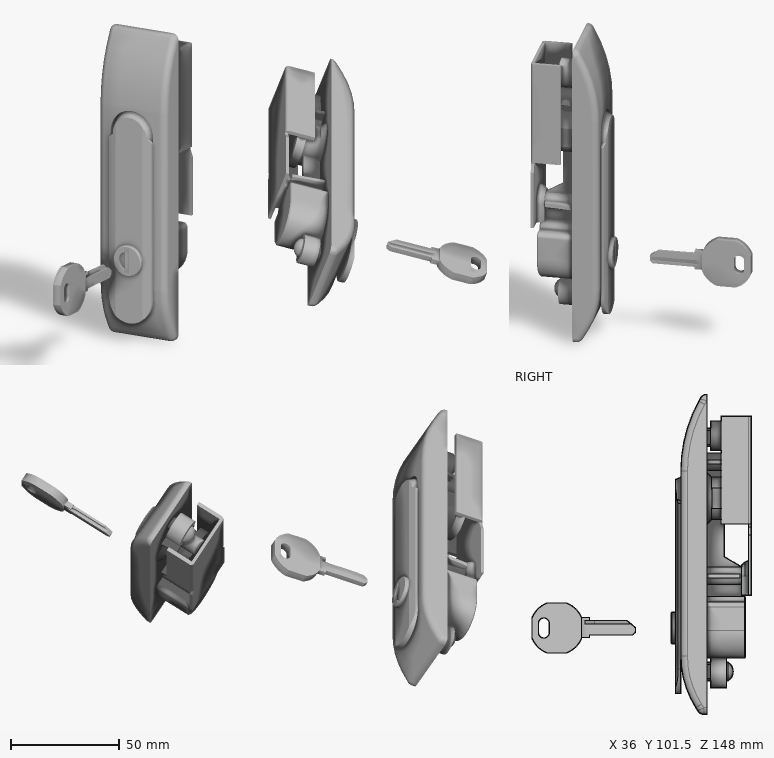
import cadquery as cq
import math


HOUSING_WIDTH = 36.0
HOUSING_HEIGHT = 148.0
FRONT_Y = -12.1
FLAT_TOP_Z = 112.5
FLAT_BOTTOM_Z = 27.0
TOP_BEND_RADIUS = 67.3
BOTTOM_BEND_RADIUS = 44.4
EDGE_RADIUS = 3.1

SPINDLE_Z = 99.9
HUB_RADIUS = 9.9
HUB_HALF_FLAT = 8.7
HUB_BACK_Y = 9.3
HUB_FLARE_RADIUS = 12.0
HUB_FLARE_HEIGHT = 2.2

POST_RADIUS = 4.1
LOWER_POST_Z = 64.1
UPPER_POST_Z = 116.8
POST_BACK_Y = 16.0
FIN_THICKNESS = 1.9
LOWER_FIN_BACK_Y = 15.2
UPPER_FIN_BACK_Y = 8.0
FIN_ROOT_HALF_SPAN = 8.3
FIN_DRAFT = 0.09
RIB_THICKNESS = 1.9
RIB_BACK_Y = 8.0
RIB_SLOPE_START_Z = 73.0
RIB_SLOPE_END_Z = 68.2

CASE_HALF_WIDTH = 12.7
CASE_BACK_Y = 17.9
CASE_ARC_CENTRE_Z = 38.8
CASE_SHOULDER_Z = 52.0
CASE_SHOULDER_RADIUS = 2.2
CASE_EDGE_CHAMFER = 0.6
STEP_HALF_WIDTH = 7.1
STEP_HEIGHT = 2.7

HANDLE_HALF_WIDTH = 11.4
HANDLE_FLAT_HALF_WIDTH = 7.3
HANDLE_FRONT_Y = -14.7
HANDLE_EDGE_Y = -13.3
HANDLE_BOTTOM_Z = 9.6
HANDLE_SHOULDER_Z = 97.5
HANDLE_SHOULDER_RISE = 2.2
HEAD_FRONT_RADIUS = 8.7
POCKET_FLOOR_Y = -9.0

LOCK_Z = 40.0
LOCK_RADIUS = 7.4
LOCK_FRONT_Y = -16.6
LOCK_EDGE_CHAMFER = 0.5
KEYWAY_WIDTH = 2.5
KEYWAY_HEIGHT = 12.6
KEYWAY_DEPTH = 0.6
THUMB_RECESS_RADIUS = 4.5
THUMB_RECESS_DEPTH = 1.3

BRACKET_HALF_WIDTH = 13.8
BRACKET_BACK_Y = 20.5
BRACKET_FRONT_Y = 6.5
BRACKET_TOP_Z = 138.0
CHANNEL_BOTTOM_Z = 88.0
TAIL_BOTTOM_Z = 55.0
PLATE_THICKNESS = 1.5
WALL_THICKNESS = 1.8
BEND_RADIUS = 1.5
TAIL_NECK_Z = 86.7
TAIL_FULL_WIDTH_Z = 82.9
EMBOSS_ROOT_RADIUS = 7.1
EMBOSS_SIDE_RADIUS = 6.4
EMBOSS_TIP_RADIUS = 5.0
EMBOSS_SIDE_HEIGHT = 1.6
EMBOSS_HEIGHT = 3.1

CAM_RADIUS = 11.8
CAM_BACK_Y = 13.5
CAM_NOTCH_DEPTH = 3.0
CAM_NOTCH_FRONT_HALF_WIDTH = 5.8
CAM_NOTCH_BACK_HALF_WIDTH = 4.6

COLLAR_END_DISTANCE = 19.1
SCREW_END_DISTANCE = 19.8
SCREW_NECK_RADIUS = 4.3
SCREW_NECK_WIDTH = 5.6
SCREW_NECK_HEIGHT = 1.6
SCREW_COLLAR_RADIUS = 6.8
SCREW_COLLAR_BACK_Y = 9.0
SCREW_DOME_START_Y = 9.8
SCREW_TIP_Y = 12.1

KEY_TIP_Y = -33.0
KEY_SHOULDER_Y = -54.3
KEY_BOW_NEAR_Y = -58.0
KEY_BOW_FAR_Y = -81.0
KEY_BOW_HEIGHT = 23.2
KEY_BOW_RADIUS = 12.5
KEY_BOW_THICKNESS = 4.1
KEY_HOLE_WIDTH = 4.9
KEY_HOLE_HEIGHT = 9.2
KEY_HOLE_Y = -75.5
KEY_BLADE_THICKNESS = 2.5
KEY_BLADE_TOP = 3.5
KEY_BLADE_BOTTOM = -3.3
KEY_COLLAR_TOP = 4.9
KEY_COLLAR_BOTTOM = -4.5
KEY_TIP_UPPER = 0.1
KEY_TIP_LOWER = -1.9
KEY_TIP_LONG_BEVEL = 4.1
KEY_TIP_SHORT_BEVEL = 1.5
KEY_GROOVE_DEPTH = 0.7
KEY_REBATE_DEPTH = 1.5
KEY_REBATE_HEIGHT = 1.8
KEY_GROOVE_END_Y = -52.1
KEY_GROOVE_RUNOUT = 4.5


def disc(radius, z, y_start, y_end):
    """Cylinder with its axis along Y."""
    axis_plane = cq.Plane(origin=(0, y_start, z), xDir=(1, 0, 0), normal=(0, 1, 0))
    return cq.Workplane(axis_plane).circle(radius).extrude(y_end - y_start)


def cone(radius_start, radius_end, z, y_start, y_end):
    """Truncated cone with its axis along Y."""
    profile = [(0, y_start), (radius_start, y_start), (radius_end, y_end), (0, y_end)]
    return cq.Workplane("XY").polyline(profile).close().revolve(360, (0, 0), (0, 1)).translate((0, 0, z))


def block(x_start, x_end, y_start, y_end, z_start, z_end):
    """Box given by its limits along the three axes."""
    size = (x_end - x_start, y_end - y_start, z_end - z_start)
    return cq.Workplane("XY").box(*size, centered=False).translate((x_start, y_start, z_start))


def side_plate(profile, thickness):
    """Extrude a closed (y, z) outline evenly to both sides of x = 0."""
    return cq.Workplane("YZ").polyline(profile).close().extrude(thickness / 2, both=True)



def bend_point(radius, rise):
    """Setback in Y of a bend that starts upright, at a distance along Z from its start."""
    return radius - math.sqrt(radius**2 - rise**2)


def housing_shell():
    top_rise = HOUSING_HEIGHT - FLAT_TOP_Z
    top_y = FRONT_Y + bend_point(TOP_BEND_RADIUS, top_rise)
    top_mid_y = FRONT_Y + bend_point(TOP_BEND_RADIUS, top_rise / 2)
    bottom_y = FRONT_Y + bend_point(BOTTOM_BEND_RADIUS, FLAT_BOTTOM_Z)
    bottom_mid_y = FRONT_Y + bend_point(BOTTOM_BEND_RADIUS, FLAT_BOTTOM_Z / 2)
    shell = (
        cq.Workplane("YZ")
        .moveTo(0, 0)
        .lineTo(0, HOUSING_HEIGHT)
        .lineTo(top_y, HOUSING_HEIGHT)
        .threePointArc((top_mid_y, FLAT_TOP_Z + top_rise / 2), (FRONT_Y, FLAT_TOP_Z))
        .lineTo(FRONT_Y, FLAT_BOTTOM_Z)
        .threePointArc((bottom_mid_y, FLAT_BOTTOM_Z / 2), (bottom_y, 0))
        .close()
        .extrude(HOUSING_WIDTH / 2, both=True)
    )
    shell = shell.edges("|Y").fillet(EDGE_RADIUS)
    front_edges = shell.faces("<Y").edges("|Z")
    return front_edges.fillet(EDGE_RADIUS)


def head_pocket():
    """Round-ended pocket in the front face around the handle head."""
    pocket = disc(HANDLE_HALF_WIDTH, SPINDLE_Z, FRONT_Y, POCKET_FLOOR_Y)
    grip_side = block(
        -HANDLE_HALF_WIDTH, HANDLE_HALF_WIDTH, FRONT_Y, POCKET_FLOOR_Y, HANDLE_SHOULDER_Z, SPINDLE_Z
    )
    above_shoulder = block(
        -HANDLE_HALF_WIDTH, HANDLE_HALF_WIDTH, FRONT_Y, POCKET_FLOOR_Y, HANDLE_SHOULDER_Z, HOUSING_HEIGHT
    )
    return pocket.union(grip_side).intersect(above_shoulder)


def hub():
    """Spindle hub with two side flats and a flared foot."""
    flats = block(-HUB_HALF_FLAT, HUB_HALF_FLAT, 0, HUB_BACK_Y, 0, HOUSING_HEIGHT)
    foot = cone(HUB_FLARE_RADIUS, HUB_RADIUS - 0.1, SPINDLE_Z, 0, HUB_FLARE_HEIGHT)
    return disc(HUB_RADIUS, SPINDLE_Z, 0, HUB_BACK_Y).intersect(flats).union(foot)


def fin(z, back_y):
    """Cross fin of a guide post; its ends lean in by the same draft at any height."""
    tip_half_span = FIN_ROOT_HALF_SPAN - FIN_DRAFT * back_y
    outline = [
        (-FIN_ROOT_HALF_SPAN, 0),
        (FIN_ROOT_HALF_SPAN, 0),
        (tip_half_span, back_y),
        (-tip_half_span, back_y),
    ]
    bottom = cq.Workplane("XY", origin=(0, 0, z - FIN_THICKNESS / 2))
    return bottom.polyline(outline).close().extrude(FIN_THICKNESS)


def guide_posts():
    """Two finned posts and the upright rib that runs down to the lock case."""
    rib_outline = [
        (0, CASE_SHOULDER_Z),
        (POST_BACK_Y, CASE_SHOULDER_Z),
        (POST_BACK_Y, RIB_SLOPE_END_Z),
        (RIB_BACK_Y, RIB_SLOPE_START_Z),
        (RIB_BACK_Y, UPPER_POST_Z),
        (0, UPPER_POST_Z),
    ]
    posts = side_plate(rib_outline, RIB_THICKNESS)
    for z, fin_back_y in ((LOWER_POST_Z, LOWER_FIN_BACK_Y), (UPPER_POST_Z, UPPER_FIN_BACK_Y)):
        posts = posts.union(disc(POST_RADIUS, z, 0, POST_BACK_Y)).union(fin(z, fin_back_y))
    return posts


def lock_case():
    """Case around the lock: round below, rounded shoulders and a rounded step above."""
    flat_end_x = CASE_HALF_WIDTH - CASE_SHOULDER_RADIUS
    step_flat_end_x = STEP_HALF_WIDTH - STEP_HEIGHT
    step_top_z = CASE_SHOULDER_Z + STEP_HEIGHT
    shoulder_start_z = CASE_SHOULDER_Z - CASE_SHOULDER_RADIUS
    back_plane = cq.Plane(origin=(0, 0, 0), xDir=(1, 0, 0), normal=(0, -1, 0))
    return (
        cq.Workplane(back_plane)
        .moveTo(-CASE_HALF_WIDTH, CASE_ARC_CENTRE_Z)
        .threePointArc((0, CASE_ARC_CENTRE_Z - CASE_HALF_WIDTH), (CASE_HALF_WIDTH, CASE_ARC_CENTRE_Z))
        .lineTo(CASE_HALF_WIDTH, shoulder_start_z)
        .radiusArc((flat_end_x, CASE_SHOULDER_Z), -CASE_SHOULDER_RADIUS)
        .lineTo(STEP_HALF_WIDTH, CASE_SHOULDER_Z)
        .radiusArc((step_flat_end_x, step_top_z), -STEP_HEIGHT)
        .lineTo(-step_flat_end_x, step_top_z)
        .radiusArc((-STEP_HALF_WIDTH, CASE_SHOULDER_Z), -STEP_HEIGHT)
        .lineTo(-flat_end_x, CASE_SHOULDER_Z)
        .radiusArc((-CASE_HALF_WIDTH, shoulder_start_z), -CASE_SHOULDER_RADIUS)
        .close()
        .extrude(-CASE_BACK_Y)
        .faces(">Y").chamfer(CASE_EDGE_CHAMFER)
    )


def make_housing():
    body = housing_shell().cut(head_pocket())
    return body.union(hub()).union(guide_posts()).union(lock_case())



def make_handle():
    """Long grip with bevelled sides, round lower end and a conical head."""
    section = [
        (-HANDLE_HALF_WIDTH, POCKET_FLOOR_Y),
        (-HANDLE_HALF_WIDTH, HANDLE_EDGE_Y),
        (-HANDLE_FLAT_HALF_WIDTH, HANDLE_FRONT_Y),
        (HANDLE_FLAT_HALF_WIDTH, HANDLE_FRONT_Y),
        (HANDLE_HALF_WIDTH, HANDLE_EDGE_Y),
        (HANDLE_HALF_WIDTH, POCKET_FLOOR_Y),
    ]
    bar = cq.Workplane("XY").polyline(section).close().extrude(HOUSING_HEIGHT)
    round_end_z = HANDLE_BOTTOM_Z + HANDLE_HALF_WIDTH
    shoulder_top_z = HANDLE_SHOULDER_Z + HANDLE_SHOULDER_RISE
    front_plane = cq.Plane(origin=(0, FRONT_Y, 0), xDir=(1, 0, 0), normal=(0, -1, 0))
    grip = (
        cq.Workplane(front_plane)
        .moveTo(-HANDLE_HALF_WIDTH, round_end_z)
        .threePointArc((0, HANDLE_BOTTOM_Z), (HANDLE_HALF_WIDTH, round_end_z))
        .lineTo(HANDLE_HALF_WIDTH, HANDLE_SHOULDER_Z)
        .lineTo(HEAD_FRONT_RADIUS, shoulder_top_z)
        .lineTo(-HEAD_FRONT_RADIUS, shoulder_top_z)
        .lineTo(-HANDLE_HALF_WIDTH, HANDLE_SHOULDER_Z)
        .close()
        .extrude(FRONT_Y - HANDLE_FRONT_Y)
    )
    above_shoulder = block(
        -HANDLE_HALF_WIDTH, HANDLE_HALF_WIDTH, HANDLE_FRONT_Y, POCKET_FLOOR_Y,
        HANDLE_SHOULDER_Z, HOUSING_HEIGHT,
    )
    head = cone(HEAD_FRONT_RADIUS, HANDLE_HALF_WIDTH, SPINDLE_Z, HANDLE_FRONT_Y, POCKET_FLOOR_Y)
    return grip.union(head.intersect(above_shoulder)).intersect(bar)



def make_lock_cylinder():
    """Lock face with an upright keyway and a half-round recess beside it."""
    face = disc(LOCK_RADIUS, LOCK_Z, LOCK_FRONT_Y, HANDLE_FRONT_Y)
    face = face.faces("<Y").chamfer(LOCK_EDGE_CHAMFER)
    keyway = block(
        -KEYWAY_WIDTH / 2, KEYWAY_WIDTH / 2, LOCK_FRONT_Y, LOCK_FRONT_Y + KEYWAY_DEPTH,
        LOCK_Z - KEYWAY_HEIGHT / 2, LOCK_Z + KEYWAY_HEIGHT / 2,
    )
    recess_floor_y = LOCK_FRONT_Y + THUMB_RECESS_DEPTH
    left_half = block(
        -LOCK_RADIUS, -KEYWAY_WIDTH / 2, LOCK_FRONT_Y, recess_floor_y,
        LOCK_Z - LOCK_RADIUS, LOCK_Z + LOCK_RADIUS,
    )
    recess = disc(THUMB_RECESS_RADIUS, LOCK_Z, LOCK_FRONT_Y, recess_floor_y).intersect(left_half)
    return face.cut(keyway).cut(recess)



def bracket_channel():
    outer = block(
        -BRACKET_HALF_WIDTH, BRACKET_HALF_WIDTH, BRACKET_FRONT_Y, BRACKET_BACK_Y,
        CHANNEL_BOTTOM_Z, BRACKET_TOP_Z,
    )
    outer = outer.faces(">Y").edges("|Z").fillet(BEND_RADIUS)
    inner_half_width = BRACKET_HALF_WIDTH - WALL_THICKNESS
    inside = block(
        -inner_half_width, inner_half_width, BRACKET_FRONT_Y, BRACKET_BACK_Y - PLATE_THICKNESS,
        CHANNEL_BOTTOM_Z, BRACKET_TOP_Z,
    )
    return outer.cut(inside)


def bracket_tail():
    """Flat tail below the channel, narrowed where it leaves the bent walls."""
    neck_half_width = BRACKET_HALF_WIDTH - BEND_RADIUS
    right_edge = [
        (BRACKET_HALF_WIDTH, TAIL_BOTTOM_Z),
        (BRACKET_HALF_WIDTH, TAIL_FULL_WIDTH_Z),
        (neck_half_width, TAIL_NECK_Z),
        (neck_half_width, CHANNEL_BOTTOM_Z),
    ]
    left_edge = [(-x, z) for x, z in reversed(right_edge)]
    back_plane = cq.Plane(origin=(0, BRACKET_BACK_Y, 0), xDir=(1, 0, 0), normal=(0, -1, 0))
    return cq.Workplane(back_plane).polyline(right_edge + left_edge).close().extrude(PLATE_THICKNESS)


def bracket_emboss():
    """Raised boss with sloping sides: half round at the top, running straight off the tail's end."""
    root_y = BRACKET_BACK_Y - PLATE_THICKNESS
    right_flank = [
        (EMBOSS_ROOT_RADIUS, root_y),
        (EMBOSS_SIDE_RADIUS, root_y - EMBOSS_SIDE_HEIGHT),
        (EMBOSS_TIP_RADIUS, root_y - EMBOSS_HEIGHT),
    ]
    left_flank = [(-x, y) for x, y in reversed(right_flank)]
    straight = (
        cq.Workplane("XY", origin=(0, 0, TAIL_BOTTOM_Z))
        .polyline(right_flank + left_flank).close()
        .extrude(LOWER_POST_Z - TAIL_BOTTOM_Z)
    )
    half_section = [(0, root_y)] + right_flank + [(0, root_y - EMBOSS_HEIGHT)]
    round_top = (
        cq.Workplane("XY", origin=(0, 0, LOWER_POST_Z))
        .polyline(half_section).close()
        .revolve(360, (0, 0), (0, 1))
    )
    return straight.union(round_top)


def make_bracket():
    return bracket_channel().union(bracket_tail()).union(bracket_emboss())



def make_cam():
    """Disc on the end of the hub with a tapered notch in its upper rim."""
    notch_floor_z = SPINDLE_Z + CAM_RADIUS - CAM_NOTCH_DEPTH
    notch = (
        cq.Workplane("XY", origin=(0, 0, notch_floor_z))
        .polyline([
            (-CAM_NOTCH_FRONT_HALF_WIDTH, HUB_BACK_Y),
            (CAM_NOTCH_FRONT_HALF_WIDTH, HUB_BACK_Y),
            (CAM_NOTCH_BACK_HALF_WIDTH, CAM_BACK_Y),
            (-CAM_NOTCH_BACK_HALF_WIDTH, CAM_BACK_Y),
        ])
        .close()
        .extrude(CAM_NOTCH_DEPTH)
    )
    return disc(CAM_RADIUS, SPINDLE_Z, HUB_BACK_Y, CAM_BACK_Y).cut(notch)



def make_screw(screw_z, collar_z):
    """Flattened neck, wide collar slightly off centre and domed tip, on the housing back."""
    half_width = SCREW_NECK_WIDTH / 2
    flats = block(-half_width, half_width, 0, SCREW_NECK_HEIGHT, 0, HOUSING_HEIGHT)
    neck = disc(SCREW_NECK_RADIUS, screw_z, 0, SCREW_NECK_HEIGHT).intersect(flats)
    collar = disc(SCREW_COLLAR_RADIUS, collar_z, SCREW_NECK_HEIGHT, SCREW_COLLAR_BACK_Y)
    dome_height = SCREW_TIP_Y - SCREW_DOME_START_Y
    dome_radius = (SCREW_NECK_RADIUS**2 + dome_height**2) / (2 * dome_height)
    tip = (
        cq.Workplane("XY", origin=(0, 0, screw_z))
        .moveTo(0, SCREW_COLLAR_BACK_Y)
        .lineTo(SCREW_NECK_RADIUS, SCREW_COLLAR_BACK_Y)
        .lineTo(SCREW_NECK_RADIUS, SCREW_DOME_START_Y)
        .radiusArc((0, SCREW_TIP_Y), -dome_radius)
        .close()
        .revolve(360, (0, 0), (0, 1))
    )
    return neck.union(collar).union(tip)



def key_bow():
    """Round bow with four flats and an upright slotted hole."""
    centre_y = (KEY_BOW_NEAR_Y + KEY_BOW_FAR_Y) / 2
    length = KEY_BOW_NEAR_Y - KEY_BOW_FAR_Y
    half_thickness = KEY_BOW_THICKNESS / 2
    flats = cq.Workplane("YZ").rect(length, KEY_BOW_HEIGHT).extrude(half_thickness, both=True)
    bow = cq.Workplane("YZ").circle(KEY_BOW_RADIUS).extrude(half_thickness, both=True).intersect(flats)
    hole = (
        cq.Workplane("YZ")
        .center(KEY_HOLE_Y - centre_y, 0)
        .slot2D(KEY_HOLE_HEIGHT, KEY_HOLE_WIDTH, 90)
        .extrude(half_thickness, both=True)
    )
    return bow.cut(hole).translate((0, centre_y, 0))


def key_groove(side_x, floor_x, z_start, z_end):
    """Long groove milled into one side of the blade, running out in an arc near the bow."""
    depth = floor_x - side_x
    runout_radius = (KEY_GROOVE_RUNOUT**2 + depth**2) / (2 * depth)
    return (
        cq.Workplane("XY", origin=(0, 0, z_start))
        .moveTo(side_x, KEY_TIP_Y)
        .lineTo(floor_x, KEY_TIP_Y)
        .lineTo(floor_x, KEY_GROOVE_END_Y)
        .radiusArc((side_x, KEY_GROOVE_END_Y - KEY_GROOVE_RUNOUT), runout_radius)
        .close()
        .extrude(z_end - z_start)
    )


def make_key():
    """Key in front of the lock, its tip pointing at the keyway."""
    blade_outline = [
        (KEY_TIP_Y, KEY_TIP_UPPER),
        (KEY_TIP_Y - KEY_TIP_LONG_BEVEL, KEY_BLADE_TOP),
        (KEY_SHOULDER_Y, KEY_BLADE_TOP),
        (KEY_SHOULDER_Y, KEY_COLLAR_TOP),
        (KEY_BOW_NEAR_Y, KEY_COLLAR_TOP),
        (KEY_BOW_NEAR_Y, KEY_COLLAR_BOTTOM),
        (KEY_SHOULDER_Y, KEY_COLLAR_BOTTOM),
        (KEY_SHOULDER_Y, KEY_BLADE_BOTTOM),
        (KEY_TIP_Y - KEY_TIP_SHORT_BEVEL, KEY_BLADE_BOTTOM),
        (KEY_TIP_Y, KEY_TIP_LOWER),
    ]
    half_thickness = KEY_BLADE_THICKNESS / 2
    left_groove = key_groove(
        -half_thickness, KEY_GROOVE_DEPTH - half_thickness, KEY_TIP_LOWER, KEY_TIP_UPPER
    )
    right_rebate = key_groove(
        half_thickness, half_thickness - KEY_REBATE_DEPTH, KEY_BLADE_TOP - KEY_REBATE_HEIGHT, KEY_BLADE_TOP
    )
    blade = side_plate(blade_outline, KEY_BLADE_THICKNESS).cut(left_groove).cut(right_rebate)
    return key_bow().union(blade).translate((0, 0, LOCK_Z))



housing = make_housing()
handle = make_handle()
lock_cylinder = make_lock_cylinder()
bracket = make_bracket()
cam = make_cam()
key = make_key()
screw_places = [
    (SCREW_END_DISTANCE, COLLAR_END_DISTANCE),
    (HOUSING_HEIGHT - SCREW_END_DISTANCE, HOUSING_HEIGHT - COLLAR_END_DISTANCE),
]
screws = []
for screw_height, collar_height in screw_places:
    screws.append(make_screw(screw_height, collar_height).val())

result = cq.Compound.makeCompound([
    housing.val(),
    handle.val(),
    lock_cylinder.val(),
    bracket.val(),
    cam.val(),
    key.val(),
    *screws,
])